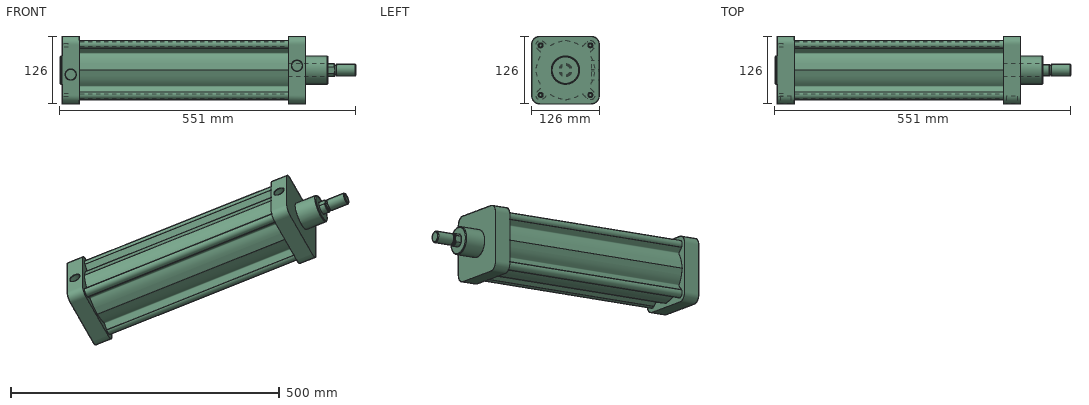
import cadquery as cq
import math

total_length = 551.0
rear_boss_length = 4.0
head_thickness = 32.0
front_boss_length = 42.0
barrel_length = 389.5
rear_head_x = rear_boss_length
barrel_x = rear_head_x + head_thickness
front_head_x = barrel_x + barrel_length
front_boss_x = front_head_x + head_thickness
front_boss_end_x = front_boss_x + front_boss_length

head_size = 126.0
head_corner_radius = 15.5
boss_radius = 26.5
boss_chamfer = 1.5
port_radius = 10.0
port_depth = 15.0
port_chamfer = 0.5
port_offset = 8.0
screw_hole_radius = 3.05
screw_hole_depth = 11.0
screw_hole_chamfer = 1.5
screw_hole_offset = 46.5

ridge_height = 55.5
land_tilt = 14
land_half_width = 12.5
shoulder_half_width = 31.0
shoulder_fillet = 2.0
lobe_offset = 47.0
lobe_radius = 8.0
rib_half_width = 9.0

rod_radius = 12.0
rod_chamfer = 1.5
flat_distance = 10.5
rod_end_x = 512.0
neck_radius = 9.0
neck_end_x = 515.0
thread_radius = 11.0
thread_chamfer = 1.5


def cylinder_x(x_start, length, radius):
    """A solid cylinder on the X axis."""
    return cq.Workplane("YZ", origin=(x_start, 0, 0)).circle(radius).extrude(length)


def make_head_block(x_start):
    """A square plate with rounded corner edges."""
    return (
        cq.Workplane("YZ", origin=(x_start, 0, 0))
        .rect(head_size, head_size)
        .extrude(head_thickness)
        .edges("|X")
        .fillet(head_corner_radius)
    )


def blind_hole(radius, depth, chamfer):
    """A cutting tool for a blind hole along +X from the origin, with a chamfered mouth."""
    profile = [(0, 0), (0, radius + chamfer), (chamfer, radius), (depth, radius), (depth, 0)]
    return cq.Workplane("XY").polyline(profile).close().revolve(360, (0, 0, 0), (1, 0, 0))


def make_boss(x_start, length, end_face):
    """A round boss with a chamfer on its free end."""
    return cylinder_x(x_start, length, boss_radius).faces(end_face).chamfer(boss_chamfer)


def cut_port(head, head_x, port_z):
    """Cut the blind air port into the -Y side, midway along the head."""
    port = blind_hole(port_radius, port_depth, port_chamfer).rotate((0, 0, 0), (0, 0, 1), 90)
    return head.cut(port.translate((head_x + head_thickness / 2, -head_size / 2, port_z)))


def make_rear_head():
    """The rear head with its boss, air port and four screw holes."""
    boss = make_boss(0, rear_boss_length, "<X")
    head = cut_port(make_head_block(rear_head_x).union(boss), rear_head_x, -port_offset)
    screw_hole = blind_hole(screw_hole_radius, screw_hole_depth, screw_hole_chamfer)
    for y_side in (-1, 1):
        for z_side in (-1, 1):
            place = (rear_head_x, y_side * screw_hole_offset, z_side * screw_hole_offset)
            head = head.cut(screw_hole.translate(place))
    return head


def make_barrel():
    """A four-sided ridged core with diagonal ribs, each ending in a round lobe near a corner."""
    land_height = ridge_height - land_half_width * math.tan(math.radians(land_tilt))
    shoulder_height = shoulder_half_width + math.sqrt(2) * rib_half_width
    half_side = (
        cq.Workplane("YZ", origin=(barrel_x, 0, 0))
        .lineTo(0, ridge_height)
        .lineTo(land_half_width, land_height)
        .tangentArcPoint((shoulder_half_width, shoulder_height), relative=False)
        .close()
        .extrude(barrel_length)
    )
    side = half_side.union(half_side.mirror("XZ"))
    core = side
    for angle in (90, 180, 270):
        core = core.union(side.rotate((0, 0, 0), (1, 0, 0), angle))

    mid_x = barrel_x + barrel_length / 2
    rib_length = 2 * math.sqrt(2) * lobe_offset
    for angle in (45, 135):
        rib_pair = cq.Workplane("XY").box(barrel_length, rib_length, 2 * rib_half_width)
        rib_pair = rib_pair.rotate((0, 0, 0), (1, 0, 0), angle)
        core = core.union(rib_pair.translate((mid_x, 0, 0)))

    for y_side in (-1, 1):
        for z_side in (-1, 1):
            for y, z in ((shoulder_half_width, shoulder_height), (shoulder_height, shoulder_half_width)):
                shoulder = cq.NearestToPointSelector((mid_x, y_side * y, z_side * z))
                core = core.edges(shoulder).fillet(shoulder_fillet)

    lobe = cylinder_x(barrel_x, barrel_length, lobe_radius)
    for y_side in (-1, 1):
        for z_side in (-1, 1):
            core = core.union(lobe.translate((0, y_side * lobe_offset, z_side * lobe_offset)))
    return core


def make_front_head():
    """The front head with its boss, air port and the through bore that fits the rod."""
    boss = make_boss(front_boss_x, front_boss_length, ">X")
    head = cut_port(make_head_block(front_head_x).union(boss), front_head_x, port_offset)
    rod_bore = cylinder_x(front_head_x, head_thickness + front_boss_length, rod_radius)
    return head.cut(rod_bore)


def make_rod():
    """A rod with two wrench flats in front of the boss, a neck and a threaded end."""
    rod_length = rod_end_x - front_head_x
    rod = cylinder_x(front_head_x, rod_length, rod_radius).faces(">X").chamfer(rod_chamfer)
    flat_length = rod_end_x - front_boss_end_x
    flat_center_x = front_boss_end_x + flat_length / 2
    flat_center_y = flat_distance + rod_radius / 2
    flat_cut = cq.Workplane("XY").box(flat_length, rod_radius, 2 * rod_radius)
    for y_side in (-1, 1):
        rod = rod.cut(flat_cut.translate((flat_center_x, y_side * flat_center_y, 0)))
    neck = cylinder_x(rod_end_x, neck_end_x - rod_end_x, neck_radius)
    thread = cylinder_x(neck_end_x, total_length - neck_end_x, thread_radius)
    return rod.union(neck).union(thread.faces(">X").chamfer(thread_chamfer))


rear_head = make_rear_head()
barrel = make_barrel()
front_head = make_front_head()
rod = make_rod()

result = cq.Compound.makeCompound([rear_head.val(), barrel.val(), front_head.val(), rod.val()])